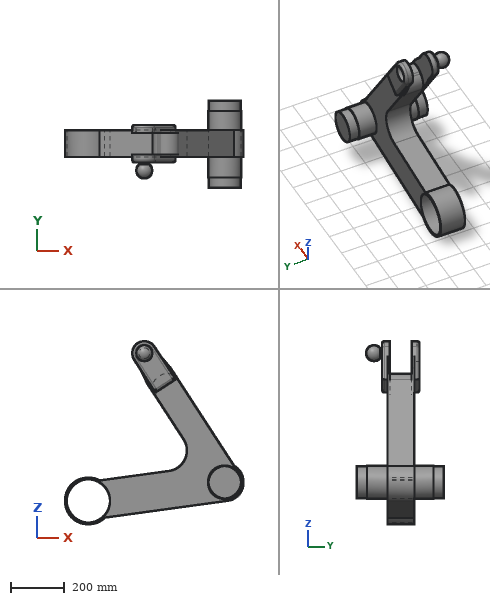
import cadquery as cq
import math

ring_radius = 87.0
ring_bore = 160.0

pivot_x = 507.5
pivot_z = 69.5
pivot_boss_radius = 70.0
sleeve_diameter = 125.0
sleeve_length = 247.5
pin_diameter = 120.0
pin_length = 325.0
pivot_middle_y = -2.0

arm_thickness = 100.0
lower_arm_width = 2 * pivot_boss_radius
upper_arm_width = 104.5
upper_arm_angle = 57.0
inner_corner_radius = 76.5

ear_radius = 45.0
ear_x = 208.0
ear_z = 682 - ring_radius - ear_radius
ear_pad_length = 145.0
ear_thickness = 30.0
ear_edge_radius = 10.0
fork_gap = 80.5
fork_width = fork_gap + 2 * ear_thickness
taper_start = 45.0
taper_end = 99.5
tongue_start = 102.0
tongue_corner_radius = 48.0
eye_diameter = 60.0

ball_diameter = 60.0
neck_diameter = 40.0
ball_offset = 99.5

lower_arm_length = math.hypot(pivot_x, pivot_z)
lower_arm_angle = math.degrees(math.atan2(pivot_z, pivot_x))

slope = math.radians(upper_arm_angle)
upper_arm_length = (pivot_x - ear_x) * math.cos(slope) + (ear_z - pivot_z) * math.sin(slope)


def cylinder_y(x, z, diameter, y_min, y_max):
    """Cylinder along Y between two Y positions."""
    base = cq.Workplane("XZ", origin=(x, y_max, z))
    return base.circle(diameter / 2).extrude(y_max - y_min)


def centred_cylinder(x, z, diameter, length, middle_y=0):
    return cylinder_y(x, z, diameter, middle_y - length / 2, middle_y + length / 2)


def fork_plane(y):
    """Plane facing -Y at the eye centre, with local x running down the upper arm."""
    return cq.Workplane(cq.Plane(
        origin=(ear_x, y, ear_z),
        xDir=(math.cos(slope), 0, -math.sin(slope)),
        normal=(0, -1, 0),
    ))


def make_lower_arm():
    plane = cq.Workplane("XZ").transformed(rotate=(0, 0, lower_arm_angle))
    bar = plane.center(lower_arm_length / 2, 0).rect(lower_arm_length, lower_arm_width)
    return bar.extrude(arm_thickness / 2, both=True)


def make_upper_arm():
    """Bar that tapers to the width of the ears at its top."""
    half = upper_arm_width / 2
    outline = fork_plane(0).polyline([
        (0, ear_radius), (taper_start, ear_radius), (taper_end, half), (upper_arm_length, half),
        (upper_arm_length, -half), (taper_end, -half), (taper_start, -ear_radius), (0, -ear_radius),
    ]).close()
    return outline.extrude(arm_thickness / 2, both=True)


def make_ear(side):
    """Round-ended ear with a rounded outer rim; side is -1 for the front, +1 for the back."""
    front_y = -fork_width / 2 if side < 0 else fork_gap / 2
    ear = (
        fork_plane(front_y + ear_thickness)
        .moveTo(0, ear_radius)
        .lineTo(ear_pad_length, ear_radius)
        .lineTo(ear_pad_length, -ear_radius)
        .lineTo(0, -ear_radius)
        .threePointArc((-ear_radius, 0), (0, ear_radius))
        .close()
        .extrude(ear_thickness)
    )
    return ear.faces("<Y" if side < 0 else ">Y").edges().fillet(ear_edge_radius)


def make_fork_gap():
    """Space between the ears, leaving a tongue with rounded corners at its floor."""
    gap_end = tongue_start + 2 * tongue_corner_radius
    gap_start = -2 * ear_radius
    gap = (
        fork_plane(0)
        .center((gap_start + gap_end) / 2, 0)
        .rect(gap_end - gap_start, 2 * upper_arm_width)
        .extrude(fork_gap / 2, both=True)
    )
    tongue = (
        fork_plane(0)
        .center((tongue_start + upper_arm_length) / 2, 0)
        .rect(upper_arm_length - tongue_start, upper_arm_width)
        .extrude(fork_gap / 2, both=True)
    )
    tongue_end = cq.selectors.NearestToPointSelector((ear_x, 0, ear_z))
    tongue = tongue.faces(tongue_end).edges("|Y").fillet(tongue_corner_radius)
    return gap.cut(tongue)


def round_inner_corner(arms):
    """Fillet the concave edge where the inner faces of the two arms meet."""
    tilt = math.radians(lower_arm_angle)
    half_lower = lower_arm_width / 2
    half_upper = upper_arm_width / 2
    lower_x = -half_lower * math.sin(tilt)
    lower_z = half_lower * math.cos(tilt)
    upper_x = ear_x - half_upper * math.sin(slope)
    upper_z = ear_z - half_upper * math.cos(slope)
    run = (upper_x - lower_x) * math.sin(slope) + (upper_z - lower_z) * math.cos(slope)
    run /= math.sin(slope + tilt)
    corner = (lower_x + run * math.cos(tilt), 0, lower_z + run * math.sin(tilt))
    return arms.edges(cq.selectors.NearestToPointSelector(corner)).fillet(inner_corner_radius)


def make_ball_stud():
    neck = cylinder_y(ear_x, ear_z, neck_diameter, -ball_offset, -fork_width / 2)
    ball = cq.Workplane("XY").sphere(ball_diameter / 2).translate((ear_x, -ball_offset, ear_z))
    return neck.union(ball)


def make_lever():
    """Both arms with the ring, sleeve, fork and ball stud."""
    lever = round_inner_corner(make_lower_arm().union(make_upper_arm()))
    lever = lever.union(centred_cylinder(0, 0, 2 * ring_radius, arm_thickness))
    lever = lever.union(centred_cylinder(pivot_x, pivot_z, 2 * pivot_boss_radius, arm_thickness))
    lever = lever.union(centred_cylinder(pivot_x, pivot_z, sleeve_diameter, sleeve_length, pivot_middle_y))
    for side in (-1, 1):
        lever = lever.union(make_ear(side))
    lever = lever.cut(make_fork_gap())
    lever = lever.cut(centred_cylinder(0, 0, ring_bore, arm_thickness))
    lever = lever.cut(centred_cylinder(pivot_x, pivot_z, pin_diameter, sleeve_length, pivot_middle_y))
    lever = lever.cut(cylinder_y(ear_x, ear_z, eye_diameter, 0, fork_width / 2))
    return lever.union(make_ball_stud())


def make_pivot_pin():
    return centred_cylinder(pivot_x, pivot_z, pin_diameter, pin_length, pivot_middle_y)


lever = make_lever()
pivot_pin = make_pivot_pin()

result = cq.Compound.makeCompound([*lever.solids().vals(), *pivot_pin.vals()])